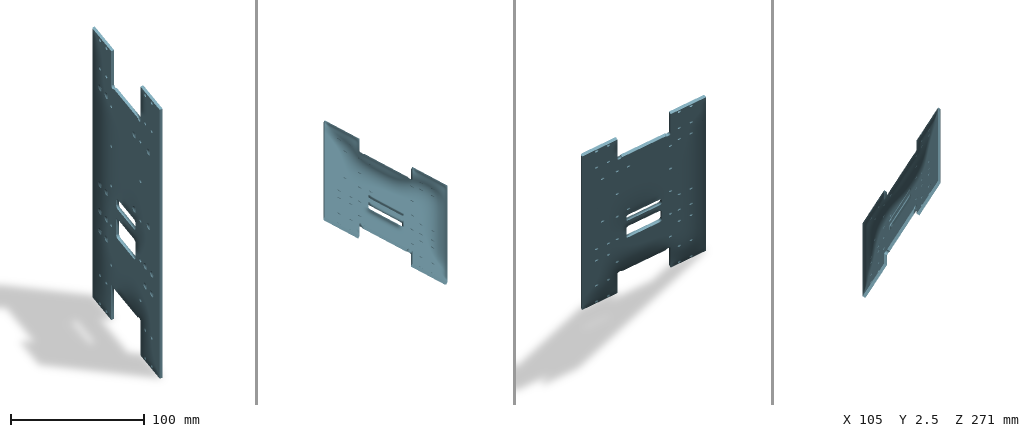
import cadquery as cq

WIDTH = 105.0
THICKNESS = 2.5
HEIGHT = 271.0

SIDE_CHAMFER = 0.75

NOTCH_WIDTH = 45.0
NOTCH_DEPTH = 35.0
RELIEF_RADIUS = 2.0
RELIEF_OFFSET = 0.5

WINDOW_WIDTH = 30.0
WINDOW_RADIUS = 2.7
UPPER_WINDOW_HEIGHT = 10.0
UPPER_WINDOW_Z = -11.0
LOWER_WINDOW_HEIGHT = 2 * UPPER_WINDOW_HEIGHT
LOWER_WINDOW_Z = -36.0

HOLE_DIAMETER = 3.0
SINK_DIAMETER = 5.5
SINK_ANGLE = 90.0

OUTER_COLUMN = 80.0 / 2
INNER_COLUMN = 60.0 / 2
NOTCH_COLUMN = NOTCH_WIDTH / 2

LEG_ROWS = (104.0, 132.5)

LINE_LENGTH = 160.0
LINE_COUNT = 5
LINE_PITCH = LINE_LENGTH / (LINE_COUNT - 1)

LEFT_SINK_ROWS = (84.5, -13.0)
PAIRED_SINK_ROWS = (-LINE_PITCH, -60.0)
RIGHT_SINK_COLUMNS = (13.0, 35.0)
RIGHT_SINK_ROWS = (79.0, 4.0)


def grid(columns, rows):
    """Every (x, z) pair of the given columns and rows."""
    return [(x, z) for x in columns for z in rows]


def mirrored(values):
    """Each value on both sides of zero."""
    return [sign * value for value in values for sign in (-1, 1)]


def front_face():
    """Workplane on the -Y face: local x is X, local y is Z, normal points to -Y."""
    return cq.Workplane("XZ", origin=(0, -THICKNESS / 2, 0))


def cutter(sketch):
    """Solid that runs from the -Y face through the full thickness."""
    return sketch.extrude(-THICKNESS)


def cut_notch(body, end):
    """Notch at the top (end = 1) or the bottom (end = -1)."""
    floor_z = end * (HEIGHT / 2 - NOTCH_DEPTH)
    relief_x = NOTCH_WIDTH / 2 - RELIEF_RADIUS
    notch_z = floor_z + end * NOTCH_DEPTH / 2
    body = body.cut(cutter(front_face().center(0, notch_z).rect(NOTCH_WIDTH, NOTCH_DEPTH)))
    reliefs = grid(mirrored([relief_x]), [floor_z + end * RELIEF_OFFSET])
    return body.cut(cutter(front_face().pushPoints(reliefs).circle(RELIEF_RADIUS)))


def cut_window(body, height, z):
    """Rounded rectangular window on the centre line."""
    window = cutter(front_face().center(0, z).rect(WINDOW_WIDTH, height))
    return body.cut(window.edges("|Y").fillet(WINDOW_RADIUS))


plate = cq.Workplane("XY").box(WIDTH, THICKNESS, HEIGHT)
plate = plate.faces("<Y").edges("|Z").chamfer(SIDE_CHAMFER)

for end in (1, -1):
    plate = cut_notch(plate, end)

plate = cut_window(plate, UPPER_WINDOW_HEIGHT, UPPER_WINDOW_Z)
plate = cut_window(plate, LOWER_WINDOW_HEIGHT, LOWER_WINDOW_Z)

leg_holes = grid(mirrored([OUTER_COLUMN, INNER_COLUMN]), mirrored(LEG_ROWS))
line_rows = [(i - (LINE_COUNT - 1) / 2) * LINE_PITCH for i in range(LINE_COUNT)]
line_holes = grid(mirrored([NOTCH_COLUMN]), line_rows)
plate = plate.cut(cutter(front_face().pushPoints(leg_holes + line_holes).circle(HOLE_DIAMETER / 2)))

sink_holes = grid([-OUTER_COLUMN, -INNER_COLUMN], LEFT_SINK_ROWS)
sink_holes += grid(mirrored([OUTER_COLUMN, INNER_COLUMN]), PAIRED_SINK_ROWS)
sink_holes += grid(RIGHT_SINK_COLUMNS, RIGHT_SINK_ROWS)
plate = plate.copyWorkplane(front_face()).pushPoints(sink_holes)
result = plate.cskHole(HOLE_DIAMETER, SINK_DIAMETER, SINK_ANGLE)